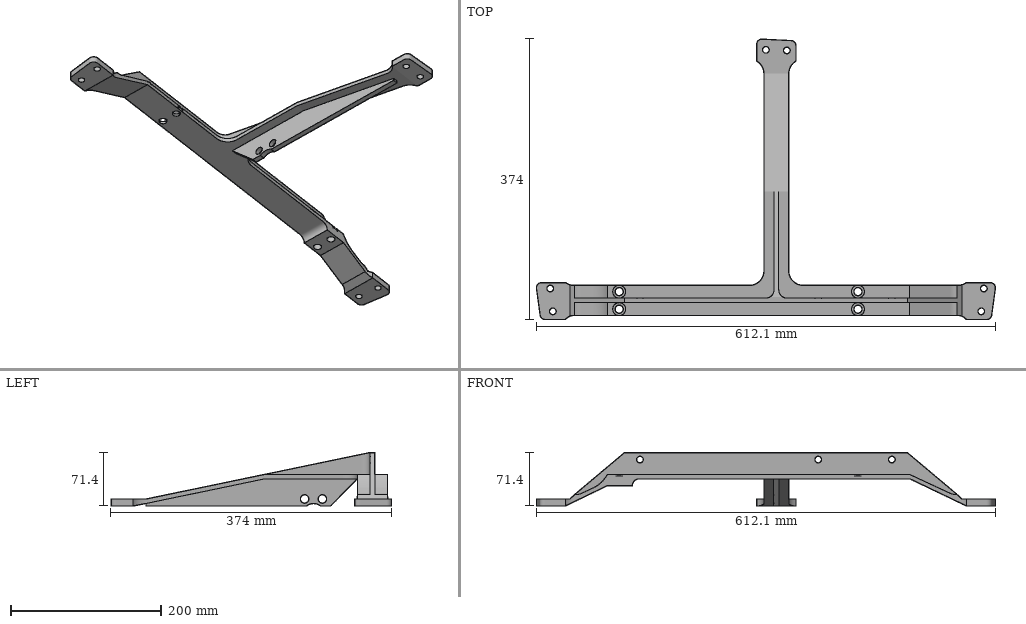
import cadquery as cq
import math


length_x = 612.07
height = 71.38
y_front = -25.6
y_back = y_front + 373.97
pad_thickness = 9.5
sheet_thickness = 6.1
flange_top = 42.2
flange_bottom = flange_top - sheet_thickness

beam_width = 40.4
beam_half_width = beam_width / 2
web_thickness = 6.1
web_slope_top_x = 188.5
web_slope_end_x = 261.2
foot_step_x = 254.9
foot_step_z = 15.6
foot_flat_x = 248.8
foot_blend_radius = 13.0
bend_top_x = 191.5
bend_bottom_x = 192.0
underside_foot_x = 267.5
web_hole_diameter = 8.5
web_hole_xs = (-167.9, 69.7, 167.9)
web_hole_z = 62.0

block_bottom = 27.0
block_outer_x = -211.4
block_inner_x = -178.0
scoop_start_x = -230.4

seat_hole_xs = (-195.6, 122.7)
seat_hole_y = 11.7
seat_hole_diameter = 10.5
seat_diameter = 17.2
seat_depth = 2.0

end_pad_back_y = 23.8
end_pad_lean = 7.8
end_pad_corner_radius = 7.0
end_pad_neck_x = 256.0
end_pad_inner_x = 267.2
pad_hole_diameter = 8.5
end_pad_holes = ((289.0, 15.8), (285.5, -14.6))
end_pad_hole_shift = 1.5

arm_x = 13.9
arm_width = 33.4
arm_top_y = 4.0
arm_slope_end_y = 302.2
arm_root_radius = 19.0
rib_thickness = 6.4
rib_root_radius = 11.0
arm_web_thickness = 7.1
arm_front_foot_y = 56.0
arm_hole_ys = (66.8, 90.5)
arm_hole_z = 9.5
arm_hole_diameter = 10.9
notch_y = 78.6
notch_width = 19.0
notch_height = 3.2

back_pad_width = 52.5
back_pad_side_y = 319.0
back_pad_lean = 2.8
back_pad_corner_radius = 7.0
back_pad_holes = ((-14.0, 334.0), (14.0, 333.2))

arm_slope = (height - pad_thickness) / (arm_slope_end_y - arm_top_y)
arm_bend_y = arm_top_y + (height - flange_top) / arm_slope
arm_underside_end_y = arm_bend_y + flange_bottom / arm_slope
foot_slope = (flange_top - foot_step_z) / (foot_flat_x - bend_top_x)


def foot_top_at(x):
    return flange_top - foot_slope * (abs(x) - bend_top_x)


def across_y(outline, width):
    """Extrude an XZ outline symmetrically about Y = 0."""
    return outline.close().extrude(width / 2, both=True)


def along_x(points, width):
    """Extrude a YZ polygon symmetrically about the arm's middle plane."""
    side = cq.Workplane("YZ", origin=(arm_x, 0, 0))
    return side.polyline(points).close().extrude(width / 2, both=True)


def cross_flange():
    block_radius = flange_bottom - block_bottom
    blend = foot_blend_radius * math.tan(math.atan(foot_slope) / 2)
    slope_angle = math.atan(foot_slope)
    blend_dx = blend * math.cos(slope_angle)
    blend_dz = blend * math.sin(slope_angle)
    inner_x = foot_flat_x - blend_dx
    inner_z = foot_step_z + blend_dz
    flat_x = foot_flat_x + blend
    scoop_start = (scoop_start_x, foot_top_at(scoop_start_x))
    scoop_dx = block_outer_x - scoop_start_x
    scoop_dz = flange_top - scoop_start[1]
    scoop_half_sweep = math.atan2(scoop_dz, scoop_dx) - slope_angle
    scoop_radius = math.hypot(scoop_dx, scoop_dz) / (2 * math.sin(scoop_half_sweep))
    outline = (
        cq.Workplane("XZ")
        .moveTo(-underside_foot_x, 0)
        .lineTo(block_outer_x, block_bottom)
        .lineTo(block_inner_x, block_bottom)
        .radiusArc((block_inner_x + block_radius, flange_bottom), block_radius)
        .lineTo(bend_bottom_x, flange_bottom)
        .lineTo(underside_foot_x, 0)
        .lineTo(web_slope_end_x, pad_thickness)
        .lineTo(foot_step_x, foot_step_z)
        .lineTo(flat_x, foot_step_z)
        .radiusArc((inner_x, inner_z), foot_blend_radius)
        .lineTo(bend_top_x, flange_top)
        .lineTo(block_outer_x, flange_top)
        .radiusArc(scoop_start, scoop_radius)
        .lineTo(-inner_x, inner_z)
        .radiusArc((-flat_x, foot_step_z), foot_blend_radius)
        .lineTo(-foot_step_x, foot_step_z)
        .lineTo(-web_slope_end_x, pad_thickness)
    )
    return across_y(outline, beam_width)


def cross_web():
    """Upright plate along the beam, running down to a step on each foot."""
    outline = (
        cq.Workplane("XZ")
        .moveTo(-web_slope_top_x, height)
        .lineTo(web_slope_top_x, height)
        .lineTo(foot_step_x, foot_step_z)
        .lineTo(underside_foot_x - pad_thickness, foot_step_z - sheet_thickness)
        .lineTo(bend_bottom_x, flange_bottom)
        .lineTo(-bend_bottom_x, flange_bottom)
        .lineTo(-underside_foot_x + pad_thickness, foot_step_z - sheet_thickness)
        .lineTo(-foot_step_x, foot_step_z)
    )
    return across_y(outline, web_thickness)


def sharp_corner_overhang(radius, lean):
    """How far the sharp corner of a leaning edge reaches past its rounded corner."""
    return radius * (1 / math.tan(math.radians(45 - lean / 2)) - 1)


def round_corners(pad, radius, corners):
    for x, y in corners:
        corner = cq.selectors.BoxSelector((x - 1, y - 1, -1), (x + 1, y + 1, height))
        pad = pad.edges(corner).edges("|Z").fillet(radius)
    return pad


def drill_pad(pad, centers):
    return pad.cut(cq.Workplane("XY").pushPoints(centers).circle(pad_hole_diameter / 2).extrude(pad_thickness))


def neck_radius(length, flare):
    """Radius of an arc that leaves a straight side tangentially and flares out over a length."""
    return (length**2 + flare**2) / (2 * flare)


def end_pad(side):
    """Pad at one end of the beam; side is +1 for the right end and -1 for the left."""
    back_x = length_x / 2 + sharp_corner_overhang(end_pad_corner_radius, end_pad_lean)
    lean_run = (end_pad_back_y - y_front) * math.tan(math.radians(end_pad_lean))
    front_x = back_x - lean_run
    neck_length = end_pad_inner_x - end_pad_neck_x
    back_neck = neck_radius(neck_length, end_pad_back_y - beam_half_width)
    front_neck = neck_radius(neck_length, -beam_half_width - y_front)
    pad = (
        cq.Workplane("XY")
        .moveTo(end_pad_neck_x, -beam_half_width)
        .radiusArc((end_pad_inner_x, y_front), front_neck)
        .lineTo(front_x, y_front)
        .lineTo(back_x, end_pad_back_y)
        .lineTo(end_pad_inner_x, end_pad_back_y)
        .radiusArc((end_pad_neck_x, beam_half_width), back_neck)
        .close()
        .extrude(height)
    )
    pad = round_corners(pad, end_pad_corner_radius, [(front_x, y_front), (back_x, end_pad_back_y)])
    profile = (
        cq.Workplane("XZ")
        .moveTo(end_pad_neck_x, foot_step_z)
        .lineTo(foot_step_x, foot_step_z)
        .lineTo(web_slope_end_x, pad_thickness)
        .lineTo(back_x, pad_thickness)
        .lineTo(back_x, 0)
        .lineTo(underside_foot_x, 0)
        .lineTo(bend_bottom_x, flange_bottom)
    )
    pad = pad.intersect(across_y(profile, 2 * length_x))
    if side < 0:
        pad = pad.mirror("YZ")
    return drill_pad(pad, [(side * x + end_pad_hole_shift, y) for x, y in end_pad_holes])


def back_pad():
    arm_left = arm_x - arm_width / 2
    arm_right = arm_x + arm_width / 2
    left = arm_x - back_pad_width / 2
    right = arm_x + back_pad_width / 2
    left_y = y_back + sharp_corner_overhang(back_pad_corner_radius, back_pad_lean)
    right_y = left_y - back_pad_width * math.tan(math.radians(back_pad_lean))
    neck = neck_radius(back_pad_side_y - arm_slope_end_y, arm_left - left)
    pad = (
        cq.Workplane("XY")
        .moveTo(arm_right, arm_slope_end_y)
        .radiusArc((right, back_pad_side_y), neck)
        .lineTo(right, right_y)
        .lineTo(left, left_y)
        .lineTo(left, back_pad_side_y)
        .radiusArc((arm_left, arm_slope_end_y), neck)
        .close()
        .extrude(pad_thickness)
    )
    pad = round_corners(pad, back_pad_corner_radius, [(left, left_y), (right, right_y)])
    pad = pad.cut(below_arm_sheet())
    return drill_pad(pad, [(arm_x + x, y) for x, y in back_pad_holes])


def below_arm_sheet():
    """Space under the sloping part of the arm's sheet."""
    return along_x(
        [
            (arm_bend_y, flange_bottom),
            (arm_bend_y, 0),
            (arm_underside_end_y, 0),
        ],
        length_x,
    )


def arm_body():
    """Sheet that forms the arm's top, carried by a narrower web down to the pad level."""
    top_line = [(arm_slope_end_y, pad_thickness), (arm_bend_y, flange_top), (0, flange_top)]
    sheet = along_x(
        [
            (0, flange_bottom),
            (arm_bend_y, flange_bottom),
            (arm_slope_end_y, arm_slope * (arm_underside_end_y - arm_slope_end_y)),
        ]
        + top_line,
        arm_width,
    )
    web = along_x(
        [
            (0, flange_bottom),
            (beam_half_width, flange_bottom),
            (arm_front_foot_y, 0),
            (arm_slope_end_y, 0),
        ]
        + top_line,
        arm_web_thickness,
    )
    return sheet.union(web)


def arm_rib():
    """Upright plate over the arm, falling from the cross web to the arm's sloping top."""
    return along_x(
        [(0, flange_top), (arm_bend_y, flange_top), (arm_top_y, height), (0, height)],
        rib_thickness,
    )


def corner_gusset(corner_x, corner_y, side, radius, z0, z1):
    """Concave quarter-round filler in the corner between a Y face and an X face."""
    far_x = corner_x + side * radius
    return (
        cq.Workplane("XY", origin=(0, 0, z0))
        .moveTo(corner_x, corner_y)
        .lineTo(far_x, corner_y)
        .radiusArc((corner_x, corner_y + radius), side * radius)
        .close()
        .extrude(z1 - z0)
    )


def arm_root():
    """Rounded corners where the arm and its rib meet the cross beam."""
    above_slope = along_x(
        [
            (arm_top_y, height),
            (arm_slope_end_y, pad_thickness),
            (arm_slope_end_y, height),
        ],
        length_x,
    )
    root = cq.Workplane("XY")
    for side in (-1, 1):
        flange_x = arm_x + side * arm_width / 2
        rib_x = arm_x + side * rib_thickness / 2
        root = root.add(
            corner_gusset(flange_x, beam_half_width, side, arm_root_radius, flange_bottom, flange_top)
        )
        root = root.add(
            corner_gusset(rib_x, web_thickness / 2, side, rib_root_radius, flange_top, height).cut(above_slope)
        )
    return root.combine()


def beam_holes():
    web_points = [(x, web_hole_z) for x in web_hole_xs]
    holes = (
        cq.Workplane("XZ").pushPoints(web_points).circle(web_hole_diameter / 2).extrude(web_thickness, both=True)
    )
    seats = [(x, y) for x in seat_hole_xs for y in (-seat_hole_y, seat_hole_y)]
    through = cq.Workplane("XY").pushPoints(seats).circle(seat_hole_diameter / 2).extrude(flange_top)
    seat_plane = cq.Workplane("XY", origin=(0, 0, flange_top))
    recess = seat_plane.pushPoints(seats).circle(seat_diameter / 2).extrude(-seat_depth)
    return holes.union(through).union(recess)


def arm_holes():
    side = cq.Workplane("YZ", origin=(arm_x, 0, 0))
    centers = [(y, arm_hole_z) for y in arm_hole_ys]
    holes = side.pushPoints(centers).circle(arm_hole_diameter / 2).extrude(arm_width, both=True)
    notch = (
        side.moveTo(notch_y - notch_width / 2, 0)
        .threePointArc((notch_y, notch_height), (notch_y + notch_width / 2, 0))
        .close()
        .extrude(arm_width, both=True)
    )
    return holes.union(notch)


result = cross_flange().union(cross_web())
result = result.union(arm_body()).union(arm_rib()).union(arm_root())
result = result.union(end_pad(-1)).union(end_pad(1)).union(back_pad())
result = result.cut(beam_holes()).cut(arm_holes())